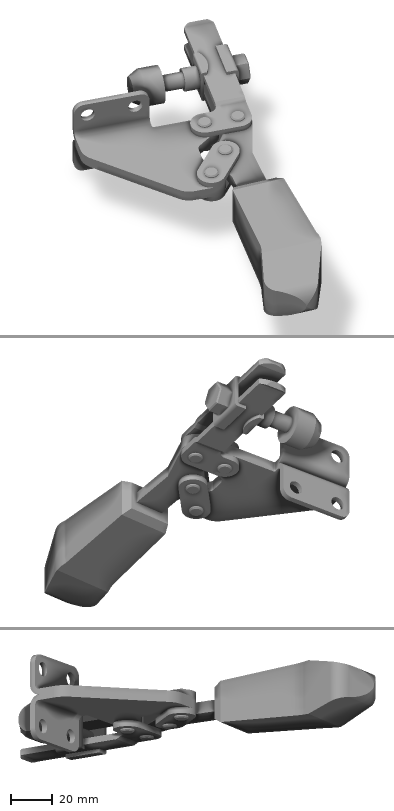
import cadquery as cq
import math


DIAGONAL = math.sqrt(0.5)

BASE_SHEET = 2.9
ARM_SHEET = 3.0
HEAD_HEIGHT = 1.2
LAYER_TOP = BASE_SHEET + ARM_SHEET

PIVOT_X = 14.6
BASE_PIVOT = (PIVOT_X, 62.2)
HANDLE_PIVOT = (PIVOT_X, 78.9)
LINK_TOP = (36.5, 66.5)
LINK_BOTTOM = (50.7, 55.6)
LUG_RADIUS = 7.0
PIN_RADIUS = 3.5
PIN_CHAMFER = 0.6

FLANGE_HEIGHT = 38.0
FLANGE_HALF_WIDTH = 21.2
BEND_RADIUS = 5.1
FLANGE_CORNER = 5.0
MOUNT_HOLE_DIAMETER = 7.0
MOUNT_HOLE_Y = (6.8, 30.7)
MOUNT_HOLE_Z = 14.2
WEB_LEFT = PIVOT_X - LUG_RADIUS
WEB_RIGHT = LINK_BOTTOM[0] + LUG_RADIUS
WEB_FOOT_END = 18.3
WEB_SLOPE_TOP = 41.2
WEB_CORNER = 10.0
NOTCH_FLOOR = 55.2
NOTCH_LEFT = 27.4
NOTCH_RIGHT = 36.3
NOTCH_CORNER = 4.0
NOTCH_RISE = 0.8
STEP_FILLET = 0.8

ARM_TOP = 85.7
ARM_BOTTOM = 70.7
ARM_CENTRE = (ARM_TOP + ARM_BOTTOM) / 2
ARM_INNER = 4.1
ARM_OUTER = ARM_INNER + ARM_SHEET
JOG_START = 2.5
JOG_END = 5.0
ARM_FILLET = 3.7
TIP_BEND_X = -53.4
TIP_END_X = -56.5
TIP_ANGLE = math.radians(20)

SPINDLE_X = -24.7
SHAFT_RADIUS = ARM_INNER
CAP_END_Y = 35.8
CAP_CONE_Y = 41.0
CAP_TOP_Y = 50.9
CAP_RADIUS = 9.5
CAP_END_RADIUS = 6.5
COLLAR_BOTTOM_Y = 62.0
COLLAR_RADIUS = 5.8
HEX_TOP_Y = 94.3
HEX_CORNERS = 15.0
HEX_CHAMFER = 0.6
SADDLE_SHEET = 1.9
LOWER_SADDLE_SHEET = 1.2
UPPER_SADDLE_ROUND = 1.6
LOWER_SADDLE_ROUND = 1.0
SADDLE_HALF_WIDTH = ARM_OUTER + SADDLE_SHEET
UPPER_SADDLE_LENGTH = 19.8
UPPER_SADDLE_LIP = 4.3
LOWER_SADDLE_LENGTH = 15.0
LOWER_LIP_SIDE = 1.5
LOWER_LIP_CROWN = 3.7

LEVER_LUG_RADIUS = 5.8
LEVER_WAIST = (38.3, 79.7)
LEVER_UNDERCUT = (52.7, 65.5)
LEVER_ROOT_X = 74.2
LEVER_ROOT_TOP = 81.8
LEVER_ROOT_BOTTOM = 66.7
LEVER_EDGE_ANGLE = 33.3

GRIP_START = (64.7, 73.3)
GRIP_TILT = 3.5
NECK_U = 4.3
FRONT_HALF_HEIGHT = 11.0
NECK_TOP_V = 13.5
NECK_BOTTOM_V = -12.5
CROWN_START = (49.0, 14.8)
CROWN_MID = (54.0, 15.2)
CROWN_END = (58.3, 14.2)
NOSE_U = 78.5
NOSE_TOP_V = 5.5
NOSE_MID = (83.0, 2.0)
NOSE_TIP = (84.9, -2.5)
NOSE_BOTTOM_V = -14.8
HEEL_MID = (75.2, -18.7)
HEEL_START = (69.6, -19.2)
BELLY_END = (52.3, -14.5)
BELLY_MID = (49.8, -14.0)
BELLY_START = (47.2, -13.8)
RIDGE_U = 55.5
FRONT_HALF_WIDTH = 7.8
NECK_HALF_WIDTH = 10.3
RIDGE_HALF_WIDTH = 13.4
NOSE_HALF_WIDTH = 8.0
NOSE_ROUND_U = 83.0
NOSE_ROUND_HALF_WIDTH = 5.0
GRIP_BLANK = 20.5


def disc(centre, radius, bottom, top):
    return cq.Workplane("XY").workplane(offset=bottom).center(*centre).circle(radius).extrude(top - bottom)


def mirrored_plate(outline, half_thickness):
    return outline.extrude(half_thickness, both=True)


def pin(centre):
    """Riveted pin through all layers, with a chamfered head at each end."""
    reach = LAYER_TOP + HEAD_HEIGHT
    return disc(centre, PIN_RADIUS, -reach, reach).faces("<Z or >Z").chamfer(PIN_CHAMFER)


def pin_hole(centre):
    return disc(centre, PIN_RADIUS, -LAYER_TOP, LAYER_TOP)


def both_sides(upper):
    return upper.union(upper.mirror("XY"))


def fillet_at(body, point, radius):
    """Round the edge parallel to Z that passes nearest to the given XY point."""
    edge = cq.NearestToPointSelector((point[0], point[1], 0))
    return body.edges("|Z").edges(edge).fillet(radius)


def make_web():
    outline = (
        cq.Workplane("XY")
        .moveTo(BEND_RADIUS, 0)
        .lineTo(WEB_FOOT_END, 0)
        .lineTo(WEB_RIGHT, WEB_SLOPE_TOP)
        .lineTo(WEB_RIGHT, LINK_BOTTOM[1])
        .lineTo(LINK_BOTTOM[0] - LUG_RADIUS * DIAGONAL, LINK_BOTTOM[1] + LUG_RADIUS * DIAGONAL)
        .lineTo(NOTCH_RIGHT, NOTCH_FLOOR)
        .lineTo(NOTCH_LEFT, NOTCH_FLOOR)
        .lineTo(PIVOT_X + LUG_RADIUS, BASE_PIVOT[1] + NOTCH_RISE)
        .lineTo(WEB_LEFT, BASE_PIVOT[1])
        .lineTo(WEB_LEFT, FLANGE_HEIGHT)
        .lineTo(BEND_RADIUS, FLANGE_HEIGHT)
        .close()
    )
    web = mirrored_plate(outline, BASE_SHEET)
    web = fillet_at(web, (WEB_FOOT_END, 0), WEB_CORNER)
    web = fillet_at(web, (WEB_RIGHT, WEB_SLOPE_TOP), WEB_CORNER)
    web = fillet_at(web, (NOTCH_LEFT, NOTCH_FLOOR), NOTCH_CORNER)
    web = fillet_at(web, (WEB_LEFT, FLANGE_HEIGHT), STEP_FILLET)
    for centre in (BASE_PIVOT, LINK_BOTTOM):
        web = web.union(disc(centre, LUG_RADIUS, -BASE_SHEET, BASE_SHEET))
    return web


def make_flange():
    """Upper flange and its bend, as a constant section in XZ along Y."""
    inner_radius = BEND_RADIUS - BASE_SHEET
    outer_mid = BEND_RADIUS * (1 - DIAGONAL)
    inner_mid = BEND_RADIUS - inner_radius * DIAGONAL
    section = (
        cq.Workplane("XZ", origin=(0, FLANGE_HEIGHT, 0))
        .moveTo(BEND_RADIUS, 0)
        .threePointArc((BEND_RADIUS - BEND_RADIUS * DIAGONAL, outer_mid), (0, BEND_RADIUS))
        .lineTo(0, FLANGE_HALF_WIDTH)
        .lineTo(BASE_SHEET, FLANGE_HALF_WIDTH)
        .lineTo(BASE_SHEET, BEND_RADIUS)
        .threePointArc((inner_mid, inner_mid), (BEND_RADIUS, BASE_SHEET))
        .close()
    )
    flange = section.extrude(FLANGE_HEIGHT)
    flange = flange.faces(">Z").edges("|X").fillet(FLANGE_CORNER)
    holes = (
        cq.Workplane("YZ")
        .pushPoints([(y, MOUNT_HOLE_Z) for y in MOUNT_HOLE_Y])
        .circle(MOUNT_HOLE_DIAMETER / 2)
        .extrude(BASE_SHEET)
    )
    return flange.cut(holes)


def make_base():
    base = make_web().union(both_sides(make_flange()))
    for centre in (BASE_PIVOT, LINK_BOTTOM):
        base = base.cut(pin_hole(centre))
    return base


def make_arm_plate():
    right = PIVOT_X + LUG_RADIUS
    left = PIVOT_X - LUG_RADIUS
    outline = (
        cq.Workplane("XY")
        .moveTo(TIP_BEND_X, ARM_BOTTOM)
        .threePointArc((TIP_END_X, ARM_CENTRE), (TIP_BEND_X, ARM_TOP))
        .lineTo(PIVOT_X, ARM_TOP)
        .threePointArc(
            (PIVOT_X + LUG_RADIUS * DIAGONAL, HANDLE_PIVOT[1] + LUG_RADIUS * DIAGONAL),
            (right, HANDLE_PIVOT[1]),
        )
        .lineTo(right, BASE_PIVOT[1])
        .threePointArc((PIVOT_X, BASE_PIVOT[1] - LUG_RADIUS), (left, BASE_PIVOT[1]))
        .lineTo(left, ARM_BOTTOM)
        .close()
        .extrude(2 * ARM_OUTER)
    )
    outline = fillet_at(outline, (left, ARM_BOTTOM), ARM_FILLET)

    tip_length = (TIP_BEND_X - TIP_END_X) / math.cos(TIP_ANGLE)
    tip_rise = tip_length * math.sin(TIP_ANGLE)
    tip_top_x = TIP_END_X + ARM_SHEET * math.sin(TIP_ANGLE)
    tip_top_z = ARM_INNER + tip_rise + ARM_SHEET * math.cos(TIP_ANGLE)
    section = (
        cq.Workplane("XZ", origin=(0, ARM_TOP + LUG_RADIUS, 0))
        .moveTo(TIP_END_X, ARM_INNER + tip_rise)
        .lineTo(tip_top_x, tip_top_z)
        .lineTo(TIP_BEND_X, ARM_OUTER)
        .lineTo(JOG_START, ARM_OUTER)
        .lineTo(JOG_END, LAYER_TOP)
        .lineTo(right, LAYER_TOP)
        .lineTo(right, BASE_SHEET)
        .lineTo(JOG_END, BASE_SHEET)
        .lineTo(JOG_START, ARM_INNER)
        .lineTo(TIP_BEND_X, ARM_INNER)
        .close()
        .extrude(ARM_TOP)
    )
    return outline.intersect(section)


def make_arm():
    return both_sides(make_arm_plate()).union(pin(BASE_PIVOT)).union(pin(HANDLE_PIVOT))


def make_link():
    dx = LINK_BOTTOM[0] - LINK_TOP[0]
    dy = LINK_BOTTOM[1] - LINK_TOP[1]
    middle = ((LINK_TOP[0] + LINK_BOTTOM[0]) / 2, (LINK_TOP[1] + LINK_BOTTOM[1]) / 2)
    plate = (
        cq.Workplane("XY")
        .workplane(offset=BASE_SHEET)
        .center(*middle)
        .slot2D(math.hypot(dx, dy) + 2 * LUG_RADIUS, 2 * LUG_RADIUS, math.degrees(math.atan2(dy, dx)))
        .extrude(ARM_SHEET)
    )
    return both_sides(plate).union(pin(LINK_TOP)).union(pin(LINK_BOTTOM))


def make_lever():
    angle = math.radians(LEVER_EDGE_ANGLE)
    tangent = (
        LINK_TOP[0] - LEVER_LUG_RADIUS * math.sin(angle),
        LINK_TOP[1] - LEVER_LUG_RADIUS * math.cos(angle),
    )
    edge_start_y = tangent[1] + (tangent[0] - PIVOT_X) * math.tan(angle)
    slope = math.atan2(HANDLE_PIVOT[1] + LUG_RADIUS - LEVER_WAIST[1], LEVER_WAIST[0] - PIVOT_X)
    lug_x = HANDLE_PIVOT[0] + LUG_RADIUS * math.sin(slope)
    lug_y = HANDLE_PIVOT[1] + LUG_RADIUS * math.cos(slope)
    outline = (
        cq.Workplane("XY")
        .moveTo(lug_x, lug_y)
        .lineTo(*LEVER_WAIST)
        .lineTo(LEVER_ROOT_X, LEVER_ROOT_TOP)
        .lineTo(LEVER_ROOT_X, LEVER_ROOT_BOTTOM)
        .lineTo(*LEVER_UNDERCUT)
        .lineTo(LINK_TOP[0], LINK_TOP[1] - LEVER_LUG_RADIUS)
        .lineTo(*tangent)
        .lineTo(PIVOT_X, edge_start_y)
        .close()
    )
    lever = mirrored_plate(outline, BASE_SHEET)
    lever = lever.union(disc(HANDLE_PIVOT, LUG_RADIUS, -BASE_SHEET, BASE_SHEET))
    lever = lever.union(disc(LINK_TOP, LEVER_LUG_RADIUS, -BASE_SHEET, BASE_SHEET))
    for centre in (HANDLE_PIVOT, LINK_TOP):
        lever = lever.cut(pin_hole(centre))
    return lever


def make_grip():
    """Side outline crossed with a waisted width profile, along the tilted grip axis."""
    side = (
        cq.Workplane("XY")
        .moveTo(0, FRONT_HALF_HEIGHT)
        .lineTo(NECK_U, NECK_TOP_V)
        .lineTo(*CROWN_START)
        .threePointArc(CROWN_MID, CROWN_END)
        .lineTo(NOSE_U, NOSE_TOP_V)
        .threePointArc(NOSE_MID, NOSE_TIP)
        .lineTo(NOSE_U, NOSE_BOTTOM_V)
        .threePointArc(HEEL_MID, HEEL_START)
        .lineTo(*BELLY_END)
        .threePointArc(BELLY_MID, BELLY_START)
        .lineTo(NECK_U, NECK_BOTTOM_V)
        .lineTo(0, -FRONT_HALF_HEIGHT)
        .close()
        .extrude(GRIP_BLANK, both=True)
    )
    width = (
        cq.Workplane("XZ")
        .moveTo(0, FRONT_HALF_WIDTH)
        .lineTo(NECK_U, NECK_HALF_WIDTH)
        .lineTo(RIDGE_U, RIDGE_HALF_WIDTH)
        .lineTo(NOSE_U, NOSE_HALF_WIDTH)
        .threePointArc((NOSE_ROUND_U, NOSE_ROUND_HALF_WIDTH), (NOSE_TIP[0], 0))
        .threePointArc((NOSE_ROUND_U, -NOSE_ROUND_HALF_WIDTH), (NOSE_U, -NOSE_HALF_WIDTH))
        .lineTo(RIDGE_U, -RIDGE_HALF_WIDTH)
        .lineTo(NECK_U, -NECK_HALF_WIDTH)
        .lineTo(0, -FRONT_HALF_WIDTH)
        .close()
        .extrude(GRIP_BLANK, both=True)
    )
    grip = side.intersect(width)
    return grip.rotate((0, 0, 0), (0, 0, 1), GRIP_TILT).translate((*GRIP_START, 0))


def make_handle():
    return make_lever().union(make_grip())


def shaft_cutter():
    """Shaft-sized cylinder along the spindle axis, from Y = 0 to the top of the hexagon."""
    return cq.Workplane("XZ", origin=(SPINDLE_X, 0, 0)).circle(SHAFT_RADIUS).extrude(-HEX_TOP_Y)


def make_upper_saddle():
    """Channel over the top edges of both fingers, under the hexagon."""
    height = SADDLE_SHEET + UPPER_SADDLE_LIP
    centre_y = ARM_TOP + SADDLE_SHEET - height / 2
    saddle = cq.Workplane("XY").box(UPPER_SADDLE_LENGTH, height, 2 * SADDLE_HALF_WIDTH)
    saddle = saddle.translate((SPINDLE_X, centre_y, 0))
    saddle = saddle.edges("|X and >Y").fillet(UPPER_SADDLE_ROUND)
    gap = cq.Workplane("XY").box(UPPER_SADDLE_LENGTH, UPPER_SADDLE_LIP, 2 * ARM_OUTER)
    gap = gap.translate((SPINDLE_X, ARM_TOP - UPPER_SADDLE_LIP / 2, 0))
    return saddle.cut(gap).cut(shaft_cutter())


def make_lower_saddle():
    """Channel with arched lips under both fingers, above the collar."""
    half = LOWER_SADDLE_LENGTH / 2
    bottom = ARM_BOTTOM - LOWER_SADDLE_SHEET
    saddle = (
        cq.Workplane("XY")
        .moveTo(SPINDLE_X - half, bottom)
        .lineTo(SPINDLE_X + half, bottom)
        .lineTo(SPINDLE_X + half, ARM_BOTTOM + LOWER_LIP_SIDE)
        .threePointArc(
            (SPINDLE_X, ARM_BOTTOM + LOWER_LIP_CROWN),
            (SPINDLE_X - half, ARM_BOTTOM + LOWER_LIP_SIDE),
        )
        .close()
        .extrude(SADDLE_HALF_WIDTH, both=True)
    )
    saddle = saddle.faces("<Y").edges("|X").fillet(LOWER_SADDLE_ROUND)
    gap = cq.Workplane("XY").box(LOWER_SADDLE_LENGTH, LOWER_LIP_CROWN, 2 * ARM_OUTER)
    gap = gap.translate((SPINDLE_X, ARM_BOTTOM + LOWER_LIP_CROWN / 2, 0))
    return saddle.cut(gap).cut(shaft_cutter())


def make_spindle():
    collar_top = ARM_BOTTOM - LOWER_SADDLE_SHEET
    hex_bottom = ARM_TOP + SADDLE_SHEET
    turned = (
        cq.Workplane("XY", origin=(SPINDLE_X, 0, 0))
        .moveTo(0, CAP_END_Y)
        .lineTo(CAP_END_RADIUS, CAP_END_Y)
        .lineTo(CAP_RADIUS, CAP_CONE_Y)
        .lineTo(CAP_RADIUS, CAP_TOP_Y)
        .lineTo(SHAFT_RADIUS, CAP_TOP_Y)
        .lineTo(SHAFT_RADIUS, COLLAR_BOTTOM_Y)
        .lineTo(COLLAR_RADIUS, COLLAR_BOTTOM_Y)
        .lineTo(COLLAR_RADIUS, collar_top)
        .lineTo(SHAFT_RADIUS, collar_top)
        .lineTo(SHAFT_RADIUS, hex_bottom)
        .lineTo(0, hex_bottom)
        .close()
        .revolve(360, (0, 0, 0), (0, 1, 0))
    )
    head = (
        cq.Workplane("XZ", origin=(SPINDLE_X, hex_bottom, 0))
        .polygon(6, HEX_CORNERS)
        .extrude(hex_bottom - HEX_TOP_Y)
    )
    head = head.faces(">Y").chamfer(HEX_CHAMFER)
    return turned.union(head)


base = make_base()
arm = make_arm()
link = make_link()
handle = make_handle()
upper_saddle = make_upper_saddle()
lower_saddle = make_lower_saddle()
spindle = make_spindle()

result = cq.Compound.makeCompound([
    *base.solids().vals(),
    *arm.solids().vals(),
    *link.solids().vals(),
    *handle.solids().vals(),
    *upper_saddle.solids().vals(),
    *lower_saddle.solids().vals(),
    *spindle.solids().vals(),
])